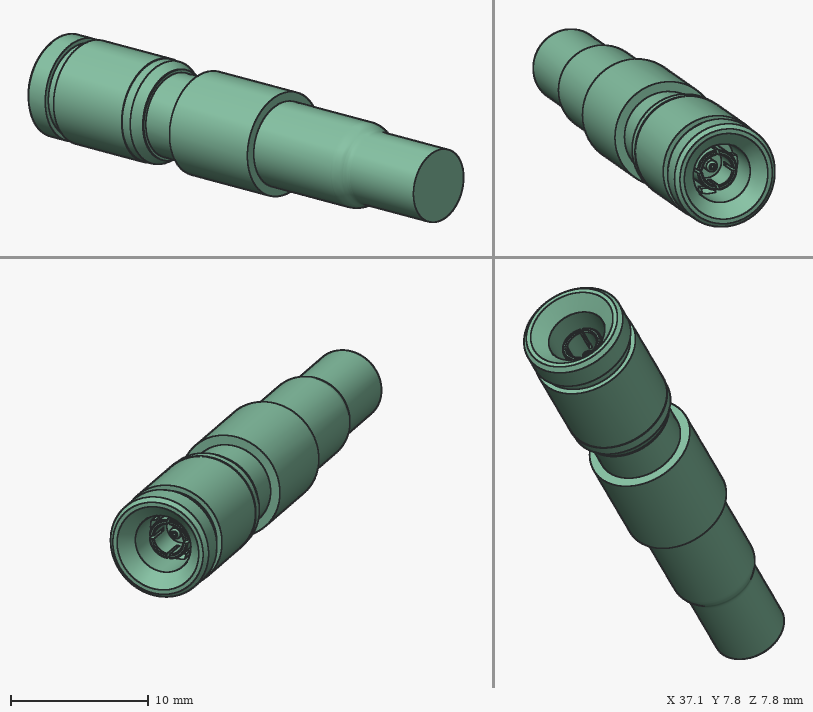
import cadquery as cq
import math


total_length = 37.1
front_chamfer_length = 0.31
groove_start = 1.95
groove_end = 2.82
collar_start = 9.5
collar_taper_start = 10.3
collar_taper_end = 11.12
collar_end = 11.22
sleeve_start = 14.2
sleeve_end = 21.85
shoulder_start = 29.4
shoulder_inflection = 30.32
shoulder_end = 30.85

lip_radius = 3.85
nut_radius = 3.9
collar_radius = 3.85
front_chamfer_height = 0.31
groove_radius = 3.5
collar_end_radius = 3.4
neck_radius = 3.17
body_radius = 3.21
sleeve_radius = 3.9
tail_radius = 2.73

mouth_radius = 3.2
bore_radius = 2.18
mouth_depth = mouth_radius - bore_radius
bore_depth = 5.0

key_count = 4
key_width = 1.02
key_flat_distance = 1.84
key_cone_inner_radius = 1.7
key_cone_length = bore_radius - key_cone_inner_radius
key_length = 1.0

tube_outer_radius = 1.5
tube_inner_radius = 1.14
tube_chamfer = 0.1
tube_front = 2.0
tube_inner_depth = 4.6
slot_count = 4
slot_width = 0.23
slot_length = 2.0

pin_radius = 0.42
pin_front = 3.2
pin_chamfer = 0.18
pin_tip_hole_radius = 0.12
pin_tip_hole_depth = 0.6


def revolve_about_x(profile):
    """Full turn of a closed (x, radius) profile about the X axis."""
    return profile.close().revolve(360, (0, 0, 0), (1, 0, 0))


def rod(start, end, radius):
    return cq.Workplane("YZ", origin=(start, 0, 0)).circle(radius).extrude(end - start)


def make_outer_body():
    drop = body_radius - tail_radius
    run = shoulder_end - shoulder_start
    slope_angle = 2 * math.atan(drop / run)
    convex_radius = (shoulder_inflection - shoulder_start) / math.sin(slope_angle)
    concave_radius = (shoulder_end - shoulder_inflection) / math.sin(slope_angle)
    arc_half_sine = math.sin(slope_angle / 2)
    arc_half_drop = 1 - math.cos(slope_angle / 2)
    convex_middle = (
        shoulder_start + convex_radius * arc_half_sine,
        body_radius - convex_radius * arc_half_drop,
    )
    inflection = (
        shoulder_inflection,
        body_radius - convex_radius * (1 - math.cos(slope_angle)),
    )
    concave_middle = (
        shoulder_end - concave_radius * arc_half_sine,
        tail_radius + concave_radius * arc_half_drop,
    )
    profile = (
        cq.Workplane("XY")
        .moveTo(0, 0)
        .lineTo(0, lip_radius - front_chamfer_height)
        .lineTo(front_chamfer_length, lip_radius)
        .lineTo(groove_start, lip_radius)
        .lineTo(groove_start, groove_radius)
        .lineTo(groove_end, groove_radius)
        .lineTo(groove_end, nut_radius)
        .lineTo(collar_start, nut_radius)
        .lineTo(collar_start, collar_radius)
        .lineTo(collar_taper_start, collar_radius)
        .lineTo(collar_taper_end, collar_end_radius)
        .lineTo(collar_end, collar_end_radius)
        .lineTo(collar_end, neck_radius)
        .lineTo(sleeve_start, neck_radius)
        .lineTo(sleeve_start, sleeve_radius)
        .lineTo(sleeve_end, sleeve_radius)
        .lineTo(sleeve_end, body_radius)
        .lineTo(shoulder_start, body_radius)
        .threePointArc(convex_middle, inflection)
        .threePointArc(concave_middle, (shoulder_end, tail_radius))
        .lineTo(total_length, tail_radius)
        .lineTo(total_length, 0)
    )
    return revolve_about_x(profile)


def make_socket():
    profile = (
        cq.Workplane("XY")
        .moveTo(0, 0)
        .lineTo(0, mouth_radius)
        .lineTo(mouth_depth, bore_radius)
        .lineTo(bore_depth, bore_radius)
        .lineTo(bore_depth, 0)
    )
    return revolve_about_x(profile)


def make_keys():
    """Keys standing on the bore wall, with conical 45 degree fronts and flat inner sides."""
    front = bore_depth - key_length
    ring_profile = (
        cq.Workplane("XY")
        .moveTo(front, bore_radius)
        .lineTo(front + key_cone_length, key_cone_inner_radius)
        .lineTo(bore_depth, key_cone_inner_radius)
        .lineTo(bore_depth, bore_radius)
    )
    ring = revolve_about_x(ring_profile)
    sector = (
        cq.Workplane("XY")
        .box(key_length, key_width, nut_radius, centered=(False, True, False))
        .translate((front, 0, key_flat_distance))
    )
    sectors = cq.Workplane("XY")
    for i in range(key_count):
        sectors = sectors.add(sector.rotate((0, 0, 0), (1, 0, 0), i * 360 / key_count))
    return ring.intersect(sectors.combine())


def make_contact_tube():
    tube = rod(tube_front, bore_depth, tube_outer_radius)
    tube = tube.cut(rod(tube_front, tube_inner_depth, tube_inner_radius))
    tube = tube.faces("<X").chamfer(tube_chamfer)
    for i in range(slot_count):
        slot = cq.Workplane("XY").box(
            slot_length, slot_width, tube_outer_radius, centered=(False, True, False)
        )
        slot = slot.translate((tube_front, 0, 0))
        tube = tube.cut(slot.rotate((0, 0, 0), (1, 0, 0), i * 360 / slot_count))
    return tube


def make_pin():
    pin = rod(pin_front, tube_inner_depth, pin_radius).faces("<X").chamfer(pin_chamfer)
    return pin.cut(rod(pin_front, pin_front + pin_tip_hole_depth, pin_tip_hole_radius))


result = (
    make_outer_body()
    .cut(make_socket())
    .union(make_keys())
    .union(make_contact_tube())
    .union(make_pin())
)